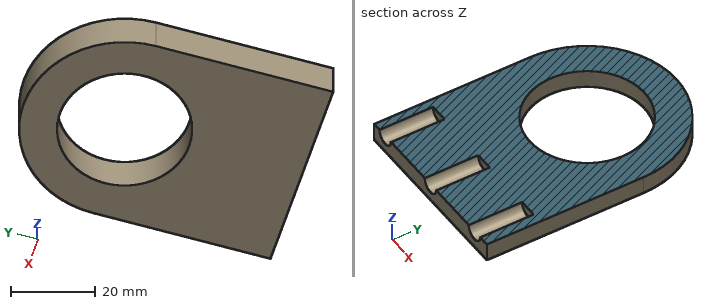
import cadquery as cq

width = 50.0
length = 69.0
thickness = 10.0
end_radius = width / 2
straight_length = length - end_radius

bore_diameter = 32.0

pin_hole_diameter = 5.0
pin_hole_depth = 15.0
left_hole_x = -20.0
middle_hole_x = 0.0
right_hole_x = 19.45


def make_plate():
    return (
        cq.Workplane("XY")
        .moveTo(-end_radius, -straight_length)
        .lineTo(end_radius, -straight_length)
        .lineTo(end_radius, 0)
        .threePointArc((0, end_radius), (-end_radius, 0))
        .close()
        .extrude(thickness)
    )


def make_bore():
    return cq.Workplane("XY").circle(bore_diameter / 2).extrude(thickness)


def make_pin_holes():
    return (
        cq.Workplane("XZ", origin=(0, -straight_length, thickness / 2))
        .pushPoints([(x, 0) for x in (left_hole_x, middle_hole_x, right_hole_x)])
        .circle(pin_hole_diameter / 2)
        .extrude(-pin_hole_depth)
    )


result = make_plate().cut(make_bore()).cut(make_pin_holes())